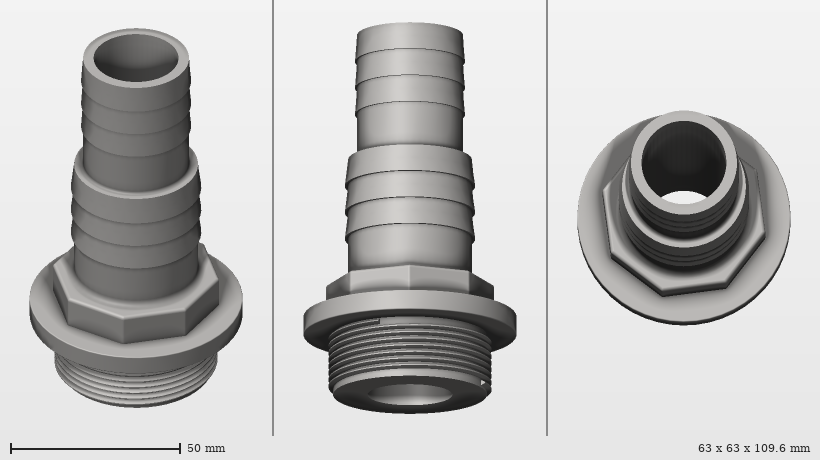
import cadquery as cq
import math

total_height = 109.6
flange_bottom = 18.1
flange_top = 24.0
octagon_top = 33.5
step_height = 71.7

bore_diameter = 25.1
barb_pitch = 8.06
barb_count = 3
upper_radius = 31.3 / 2
upper_barb_radius = 32.5 / 2
lower_radius = 36.6 / 2
lower_barb_radius = 38.6 / 2
step_fillet = 0.9
base_fillet = 1.9

flange_diameter = 63.0
flange_edge_fillet = 0.3
octagon_across_flats = 46.0
octagon_sides = 8
octagon_corner_fillet = 1.0
octagon_top_fillet = 1.0

thread_root_radius = 45.5 / 2
thread_crest_radius = 48.2 / 2
thread_pitch = 2.02
thread_turns = 7.75
thread_start_height = 1.4
thread_base_width = 2.0
thread_crest_width = 0.3
thread_embed = 0.3


def cylinder(radius, bottom, top):
    return cq.Workplane("XY").workplane(offset=bottom).circle(radius).extrude(top - bottom)


def hose_tail(radius, barb_radius, bottom, top, root_fillet):
    """Cylinder with tapered barbs at its top and a concave fillet at its foot."""
    profile = cq.Workplane("XZ").moveTo(0, top).lineTo(radius, top)
    for barb in range(1, barb_count + 1):
        barb_foot = top - barb * barb_pitch
        profile = profile.lineTo(barb_radius, barb_foot).lineTo(radius, barb_foot)
    profile = profile.lineTo(radius, bottom + root_fillet)
    profile = profile.radiusArc((radius + root_fillet, bottom), -root_fillet)
    return profile.lineTo(0, bottom).close().revolve(360, (0, 0, 0), (0, 1, 0))


def flange():
    disc = cylinder(flange_diameter / 2, flange_bottom, flange_top)
    return disc.faces("<Z or >Z").edges().fillet(flange_edge_fillet)


def octagon_grip():
    across_corners = octagon_across_flats / math.cos(math.pi / octagon_sides)
    grip = (
        cq.Workplane("XY")
        .workplane(offset=flange_top)
        .transformed(rotate=(0, 0, 180 / octagon_sides))
        .polygon(octagon_sides, across_corners)
        .extrude(octagon_top - flange_top)
    )
    grip = grip.edges("|Z").fillet(octagon_corner_fillet)
    return grip.faces(">Z").edges().fillet(octagon_top_fillet)


def thread_ridge():
    """Trapezoidal ridge swept along a helix, its foot sunk slightly into the core."""
    helix = cq.Wire.makeHelix(thread_pitch, thread_pitch * thread_turns, thread_root_radius)
    foot_radius = thread_root_radius - thread_embed
    ridge = (
        cq.Workplane("XZ")
        .polyline([
            (foot_radius, -thread_base_width / 2),
            (thread_crest_radius, -thread_crest_width / 2),
            (thread_crest_radius, thread_crest_width / 2),
            (foot_radius, thread_base_width / 2),
        ])
        .close()
        .sweep(cq.Workplane(obj=helix), isFrenet=True)
    )
    return ridge.rotate((0, 0, 0), (0, 0, 1), 180).translate((0, 0, thread_start_height))


upper_tail = hose_tail(upper_radius, upper_barb_radius, step_height, total_height, step_fillet)
lower_tail = hose_tail(lower_radius, lower_barb_radius, octagon_top, step_height, base_fillet)
thread_core = cylinder(thread_root_radius, 0, flange_bottom)
bore = cylinder(bore_diameter / 2, 0, total_height)

result = (
    thread_core.union(thread_ridge())
    .union(flange())
    .union(octagon_grip())
    .union(lower_tail)
    .union(upper_tail)
    .cut(bore)
)